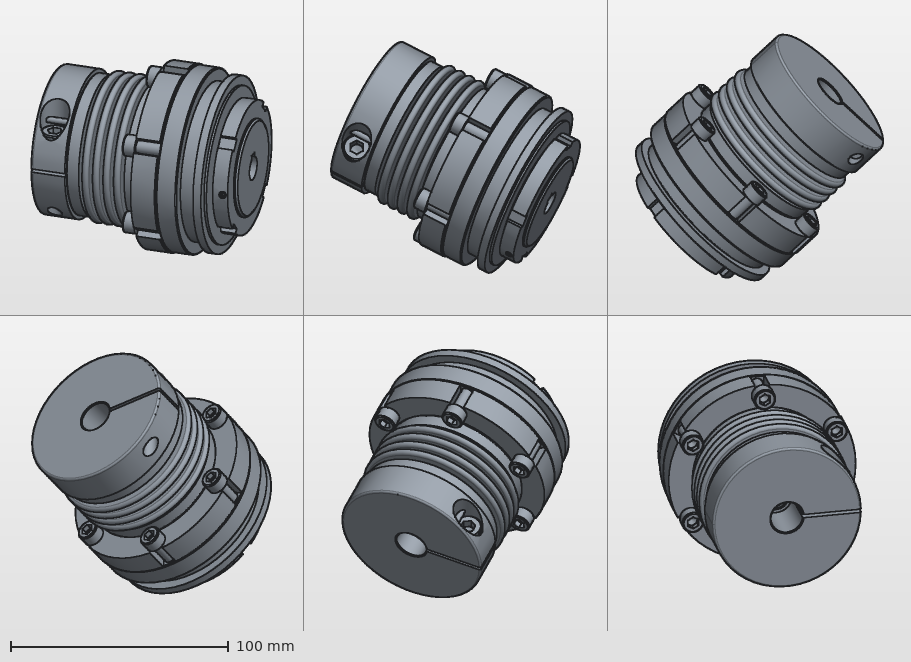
import cadquery as cq
import math


hub_end = 16.5
collar_start = 16.9
bellows_start = 22.7
bellows_end = 44.7
rear_collar_end = 50.7
flange_start = 51.6
flange_end = 63.6
ring_end = 73.4
sleeve_end = 80.6
disc_start = 80.9
disc_end = 84.8
spacer_end = 85.9
nut_rim_start = 87.1
nut_end = 94.3
total_length = 96.0

hub_diameter = 70.0
neck_diameter = 65.0
collar_diameter = 66.2
flange_diameter = 88.0
ring_diameter = 87.1
sleeve_diameter = 74.9
groove_diameter = 72.6
disc_diameter = 83.0
spacer_diameter = 74.1
nut_seat_diameter = 54.5
nut_diameter = 63.1
shaft_diameter = 46.0

hub_edge_radius = 1.0
flange_chamfer = 0.5
ring_chamfer = 0.6
shaft_chamfer = 1.0

crest_count = 4
crest_width = 3.2
bellows_pitch = 5.1
first_crest_x = bellows_start + bellows_pitch - crest_width / 2
crest_diameter = 70.8
root_diameter = 52.3
tail_diameter = 53.0

hub_bore_diameter = 15.0
shaft_bore_diameter = 10.9
bore_chamfer = 0.5
keyway_width = 4.0
keyway_height = 7.2

slit_width = 1.6
clamp_x = 8.4
clamp_y = -24.9
clamp_shank_diameter = 8.0
clamp_head_diameter = 13.0
clamp_head_height = 8.0
clamp_head_chamfer = 0.7
clamp_head_top = 16.9
clamp_socket_width = 6.0
clamp_socket_depth = 4.0
clamp_screw_end = -15.9
counterbore_diameter = 13.5
thread_exit_diameter = 6.8

pin_diameter = 3.0
pin_y = -19.6
pin_z = 19.5
pin_start = 1.4
pin_end = 15.4

socket_cone_angle = math.radians(30)

screw_count = 6
screw_shank_diameter = 6.0
screw_head_diameter = 10.0
screw_circle_radius = (flange_diameter - screw_head_diameter) / 2
screw_head_height = 6.0
screw_head_chamfer = 0.6
screw_socket_width = 5.0
screw_socket_depth = 3.0
screw_slot_width = 6.8

nut_notch_count = 4
nut_notch_width = 6.0
nut_notch_depth = 2.5
set_screw_x = 91.8
set_screw_diameter = 3.3
set_screw_recess = 0.5
set_screw_socket_diameter = 2.0
set_screw_socket_depth = 1.4


def cylinder(start, end, diameter):
    """Solid cylinder on the X axis between two stations."""
    return cq.Workplane("YZ").workplane(offset=start).circle(diameter / 2).extrude(end - start)


def turned_body():
    """Stepped outside of the coupling, without the bellows."""
    hub = cylinder(0, hub_end, hub_diameter).faces("<X").edges().fillet(hub_edge_radius)
    flange = cylinder(flange_start, flange_end, flange_diameter)
    ring = cylinder(flange_end, ring_end, ring_diameter)
    shaft = cylinder(nut_rim_start, total_length, shaft_diameter)
    body = hub.union(cylinder(hub_end, collar_start, neck_diameter))
    body = body.union(cylinder(collar_start, bellows_start, collar_diameter))
    body = body.union(cylinder(bellows_end, rear_collar_end, collar_diameter))
    body = body.union(cylinder(rear_collar_end, flange_start, neck_diameter))
    body = body.union(flange.faces(">X").edges().chamfer(flange_chamfer))
    body = body.union(ring.edges().chamfer(ring_chamfer))
    body = body.union(cylinder(ring_end, sleeve_end, sleeve_diameter))
    body = body.union(cylinder(sleeve_end, disc_start, groove_diameter))
    body = body.union(cylinder(disc_start, disc_end, disc_diameter))
    body = body.union(cylinder(disc_end, spacer_end, spacer_diameter))
    return body.union(shaft.faces(">X").edges().chamfer(shaft_chamfer))


def bellows():
    """Revolved convolutions with half-round crests and half-round roots."""
    crest_radius = crest_width / 2
    root_radius = (bellows_pitch - crest_width) / 2
    crest_top = crest_diameter / 2
    crest_base = crest_top - crest_radius
    root_bottom = root_diameter / 2
    root_edge = root_bottom + root_radius
    tail_radius = tail_diameter / 2
    outline = cq.Workplane("XY").moveTo(bellows_start, 0).lineTo(bellows_start, root_edge)
    for index in range(crest_count):
        crest_x = first_crest_x + index * bellows_pitch
        rise_x = crest_x - crest_radius
        fall_x = crest_x + crest_radius
        outline = outline.threePointArc((crest_x - bellows_pitch / 2, root_bottom), (rise_x, root_edge))
        outline = outline.lineTo(rise_x, crest_base)
        outline = outline.threePointArc((crest_x, crest_top), (fall_x, crest_base))
        if index < crest_count - 1:
            outline = outline.lineTo(fall_x, root_edge)
    outline = outline.lineTo(fall_x, tail_radius).lineTo(bellows_end, tail_radius)
    outline = outline.lineTo(bellows_end, 0).close()
    return outline.revolve(360, (0, 0, 0), (1, 0, 0))


def slotted_nut():
    """Nut with a conical front face, rim notches and a recessed radial set screw."""
    rim_radius = nut_diameter / 2
    nut = (
        cq.Workplane("XY")
        .moveTo(spacer_end, 0)
        .lineTo(spacer_end, nut_seat_diameter / 2)
        .lineTo(nut_rim_start, rim_radius)
        .lineTo(nut_end, rim_radius)
        .lineTo(nut_end, 0)
        .close()
        .revolve(360, (0, 0, 0), (1, 0, 0))
    )
    notch_floor = rim_radius - nut_notch_depth
    notch = (
        cq.Workplane("XY")
        .box(nut_end - spacer_end, nut_notch_width, 2 * nut_notch_depth, centered=(False, True, False))
        .translate((spacer_end, 0, notch_floor))
    )
    for index in range(nut_notch_count):
        angle = (index + 0.5) * 360 / nut_notch_count
        nut = nut.cut(notch.rotate((0, 0, 0), (1, 0, 0), angle))
    rim = cq.Workplane("XZ", origin=(set_screw_x, -rim_radius, 0))
    recess = rim.circle(set_screw_diameter / 2).extrude(-set_screw_recess)
    socket_radius = set_screw_socket_diameter / 2
    socket_floor = set_screw_recess + set_screw_socket_depth
    socket = rim.circle(socket_radius).extrude(-socket_floor)
    cone_depth = socket_radius * math.tan(socket_cone_angle)
    cone = cq.Solid.makeCone(
        socket_radius,
        0,
        cone_depth,
        cq.Vector(set_screw_x, socket_floor - rim_radius, 0),
        cq.Vector(0, 1, 0),
    )
    return nut.cut(recess).cut(socket).cut(cq.Workplane(cone))


def cap_screw_head(diameter, height, chamfer, socket_width, socket_depth):
    """Socket head standing on the XY plane, with a hexagon socket ending in a cone."""
    hexagon_diameter = socket_width / math.cos(math.pi / 6)
    socket_radius = socket_width / 2
    cone_depth = socket_radius * math.tan(socket_cone_angle)
    socket_floor = height - socket_depth
    head = cq.Workplane("XY").circle(diameter / 2).extrude(height)
    head = head.faces(">Z").edges().chamfer(chamfer)
    socket = cq.Workplane("XY").workplane(offset=socket_floor)
    cone = cq.Solid.makeCone(0, socket_radius, cone_depth, cq.Vector(0, 0, socket_floor - cone_depth))
    return head.cut(socket.polygon(6, hexagon_diameter).extrude(socket_depth)).cut(cq.Workplane(cone))


def screw_positions():
    """Y and Z of the flange screws and the angle of each about the X axis."""
    for index in range(screw_count):
        angle = index * 360 / screw_count
        radians = math.radians(angle)
        y = -screw_circle_radius * math.sin(radians)
        z = screw_circle_radius * math.cos(radians)
        yield y, z, angle


def cut_screw_slots(body):
    """Open U-slots in the rim of the flange, one for each screw."""
    flange_width = flange_end - flange_start
    round_end = cq.Workplane("YZ", origin=(flange_start, 0, screw_circle_radius))
    slot = round_end.circle(screw_slot_width / 2).extrude(flange_width)
    slot = slot.union(
        cq.Workplane("XY")
        .box(flange_width, screw_slot_width, screw_slot_width, centered=(False, True, False))
        .translate((flange_start, 0, screw_circle_radius))
    )
    for _, _, angle in screw_positions():
        body = body.cut(slot.rotate((0, 0, 0), (1, 0, 0), angle))
    return body


def add_flange_screws(body):
    """Cap screws lying in the slots and screwed into the ring behind the flange."""
    head = cap_screw_head(
        screw_head_diameter,
        screw_head_height,
        screw_head_chamfer,
        screw_socket_width,
        screw_socket_depth,
    ).rotate((0, 0, 0), (0, 1, 0), -90)
    shank_length = (flange_end + ring_end) / 2 - flange_start
    shank = cq.Workplane("YZ").circle(screw_shank_diameter / 2).extrude(shank_length)
    screw = head.union(shank)
    for y, z, _ in screw_positions():
        body = body.union(screw.translate((flange_start, y, z)))
    return body


def cut_bores(body):
    """Hub bore, smaller shaft bore behind it with a keyway, and their front chamfers."""
    body = body.cut(cylinder(0, bellows_start, hub_bore_diameter))
    body = body.cut(cylinder(bellows_start, total_length, shaft_bore_diameter))
    keyway = cq.Workplane("XY").box(
        total_length - bellows_start, keyway_width, keyway_height, centered=(False, True, False)
    )
    body = body.cut(keyway.translate((bellows_start, 0, 0)))
    for start, diameter in ((0, hub_bore_diameter), (bellows_start, shaft_bore_diameter)):
        countersink = cq.Solid.makeCone(
            diameter / 2 + bore_chamfer,
            diameter / 2,
            bore_chamfer,
            cq.Vector(start, 0, 0),
            cq.Vector(1, 0, 0),
        )
        body = body.cut(cq.Workplane(countersink))
    return body


def cut_clamp(body):
    """Radial slit on the -Y side, screw counterbore from above and thread exit below."""
    hub_radius = hub_diameter / 2
    slit = cq.Workplane("XY").box(collar_start, hub_radius, slit_width, centered=(False, False, True))
    head_seat = clamp_head_top - clamp_head_height
    seat = cq.Workplane("XY", origin=(clamp_x, clamp_y, head_seat))
    counterbore = seat.circle(counterbore_diameter / 2).extrude(hub_radius)
    thread_end = cq.Workplane("XY", origin=(clamp_x, clamp_y, clamp_screw_end))
    thread_exit = thread_end.circle(thread_exit_diameter / 2).extrude(-hub_radius)
    return body.cut(slit.translate((0, -hub_radius, 0))).cut(counterbore).cut(thread_exit)


def add_clamp_screw(body):
    """Clamping screw across the slit, and the captive pin above its head."""
    head_seat = clamp_head_top - clamp_head_height
    head = cap_screw_head(
        clamp_head_diameter,
        clamp_head_height,
        clamp_head_chamfer,
        clamp_socket_width,
        clamp_socket_depth,
    )
    shank = cq.Workplane("XY").circle(clamp_shank_diameter / 2).extrude(clamp_screw_end - head_seat)
    screw = head.union(shank).translate((clamp_x, clamp_y, head_seat))
    pin = cylinder(pin_start, pin_end, pin_diameter).translate((0, pin_y, pin_z))
    return body.union(screw).union(pin)


result = turned_body().union(bellows()).union(slotted_nut())
result = cut_bores(result)
result = cut_screw_slots(result)
result = add_flange_screws(result)
result = cut_clamp(result)
result = add_clamp_screw(result)